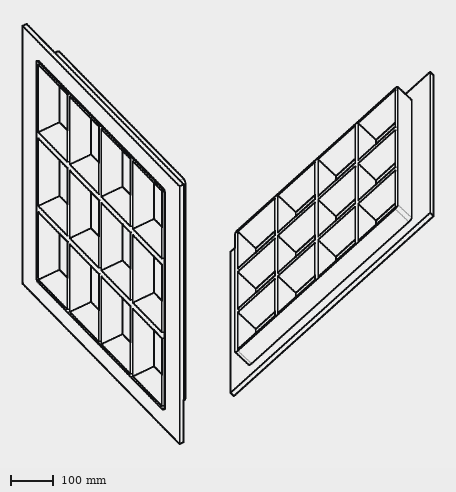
import cadquery as cq

flange_width = 652.0
flange_height = 834.0
flange_thickness = 12.0
flange_margin = 60.0

body_depth = 60.0
front_lip = 2.5
body_width = flange_width - 2 * flange_margin
body_height = flange_height - 2 * flange_margin
corner_radius = 9.0

wall = 9.0
columns = 4
rows = 3
upright_thickness = 10.0
crossbar_thickness = 20.0
opening_width = (body_width - 2 * wall - (columns - 1) * upright_thickness) / columns
opening_height = (body_height - 2 * wall - (rows - 1) * crossbar_thickness) / rows


def block(width, height, front, depth):
    """Block centred on X and Z, running toward +Y from the given front face."""
    return cq.Workplane("XY").box(width, depth, height).translate((0, front + depth / 2, 0))


def openings():
    """Through openings separated by the uprights and crossbars."""
    return (
        cq.Workplane("XZ")
        .rarray(
            opening_width + upright_thickness,
            opening_height + crossbar_thickness,
            columns,
            rows,
        )
        .rect(opening_width, opening_height)
        .extrude(body_depth, both=True)
    )


flange = block(flange_width, flange_height, front_lip, flange_thickness)
body = block(body_width, body_height, 0, body_depth).edges("|Y").fillet(corner_radius)

result = flange.union(body).cut(openings())